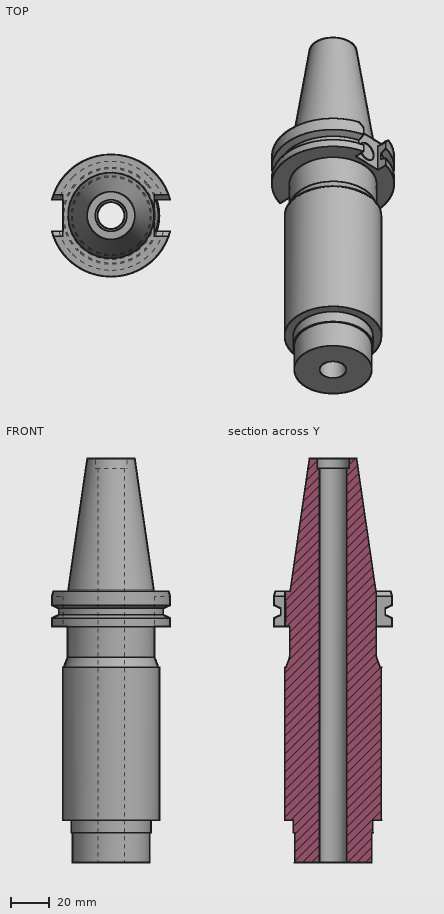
import cadquery as cq

TOTAL_LENGTH = 209.6

TAPER_TOP_RADIUS = 12.4
TAPER_BASE_RADIUS = 22.2
TAPER_LENGTH = 68.0

FLANGE_DIAMETER = 63.5
FLANGE_RADIUS = FLANGE_DIAMETER / 2
FLANGE_TOP_DEPTH = 68.8
FLANGE_BOTTOM_DEPTH = 87.2
GROOVE_RADIUS = 28.3
GROOVE_TOP_DEPTH = 76.0
GROOVE_BOTTOM_DEPTH = 82.8
GROOVE_BEVEL_HEIGHT = 1.7

NECK_RADIUS = 22.6
NECK_END_DEPTH = 103.1
BODY_RADIUS = 25.2
SHOULDER_RADIUS = 24.5
BODY_TOP_DEPTH = 108.2
BODY_END_DEPTH = 187.6
COLLAR_RADIUS = 20.8
COLLAR_END_DEPTH = 194.1
NOSE_RADIUS = 20.1

BORE_RADIUS = 7.0
COUNTERBORE_RADIUS = 8.2
COUNTERBORE_DEPTH = 5.0

SLOT_WIDTH = 16.1
SLOT_CHAMFER = 2.7
LEFT_FLOOR_X = 25.0
RIGHT_FLOOR_X = 22.5
DIMPLE_RADIUS = 5.0
DIMPLE_DEPTH = 0.2
DIMPLE_CENTRE_DEPTH = 79.5

FLANGE_TOP_Z = TOTAL_LENGTH - FLANGE_TOP_DEPTH
FLANGE_BOTTOM_Z = TOTAL_LENGTH - FLANGE_BOTTOM_DEPTH


def make_holder():
    """Revolve the solid outer profile, listed as radius and depth below the taper end."""
    profile = [
        (0, 0),
        (TAPER_TOP_RADIUS, 0),
        (TAPER_BASE_RADIUS, TAPER_LENGTH),
        (TAPER_BASE_RADIUS, FLANGE_TOP_DEPTH),
        (FLANGE_RADIUS, FLANGE_TOP_DEPTH),
        (FLANGE_RADIUS, GROOVE_TOP_DEPTH),
        (GROOVE_RADIUS, GROOVE_TOP_DEPTH + GROOVE_BEVEL_HEIGHT),
        (GROOVE_RADIUS, GROOVE_BOTTOM_DEPTH - GROOVE_BEVEL_HEIGHT),
        (FLANGE_RADIUS, GROOVE_BOTTOM_DEPTH),
        (FLANGE_RADIUS, FLANGE_BOTTOM_DEPTH),
        (NECK_RADIUS, FLANGE_BOTTOM_DEPTH),
        (NECK_RADIUS, NECK_END_DEPTH),
        (SHOULDER_RADIUS, BODY_TOP_DEPTH),
        (BODY_RADIUS, BODY_TOP_DEPTH),
        (BODY_RADIUS, BODY_END_DEPTH),
        (COLLAR_RADIUS, BODY_END_DEPTH),
        (COLLAR_RADIUS, COLLAR_END_DEPTH),
        (NOSE_RADIUS, COLLAR_END_DEPTH),
        (NOSE_RADIUS, TOTAL_LENGTH),
        (0, TOTAL_LENGTH),
    ]
    points = [(radius, TOTAL_LENGTH - depth) for radius, depth in profile]
    return cq.Workplane("XZ").polyline(points).close().revolve(360, (0, 0), (0, 1))


def make_slot_cutter(floor_x, side):
    """Drive slot from its floor outward; side is -1 for -X and +1 for +X."""
    half = SLOT_WIDTH / 2
    outline = [
        (-half, FLANGE_BOTTOM_Z),
        (half, FLANGE_BOTTOM_Z),
        (half, FLANGE_TOP_Z - SLOT_CHAMFER),
        (half + SLOT_CHAMFER, FLANGE_TOP_Z),
        (-half - SLOT_CHAMFER, FLANGE_TOP_Z),
        (-half, FLANGE_TOP_Z - SLOT_CHAMFER),
    ]
    floor = cq.Workplane("YZ", origin=(side * floor_x, 0, 0))
    return floor.polyline(outline).close().extrude(side * FLANGE_RADIUS)


def make_dimple_cutter():
    """Shallow orientation dimple in the floor of the -X slot."""
    centre = (-LEFT_FLOOR_X, 0, TOTAL_LENGTH - DIMPLE_CENTRE_DEPTH)
    return cq.Workplane("YZ", origin=centre).circle(DIMPLE_RADIUS).extrude(DIMPLE_DEPTH)


def make_bore_cutter():
    """Through bore with a counterbore at the taper end."""
    bore = cq.Workplane("XY").circle(BORE_RADIUS).extrude(TOTAL_LENGTH)
    seat = cq.Workplane("XY", origin=(0, 0, TOTAL_LENGTH - COUNTERBORE_DEPTH))
    return bore.union(seat.circle(COUNTERBORE_RADIUS).extrude(COUNTERBORE_DEPTH))


result = (
    make_holder()
    .cut(make_slot_cutter(LEFT_FLOOR_X, -1))
    .cut(make_slot_cutter(RIGHT_FLOOR_X, 1))
    .cut(make_dimple_cutter())
    .cut(make_bore_cutter())
)